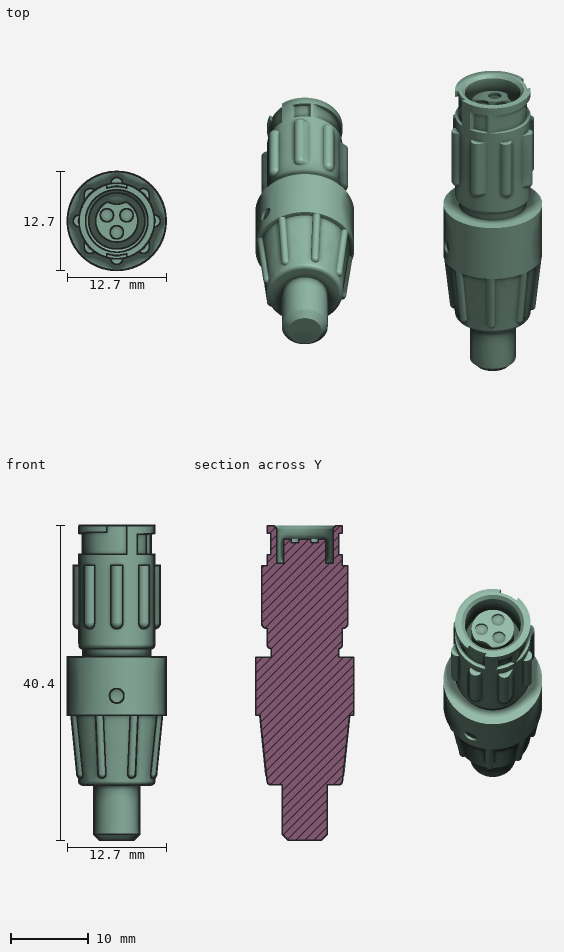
import cadquery as cq
import math

total_length = 40.4
collar_bottom_z = 16.05
collar_top_z = 23.55
barrel_bottom_z = 24.55
strain_relief_bottom_z = 7.1

cable_radius = 2.95
cable_chamfer = 0.8
strain_relief_top_radius = 5.78
strain_relief_bottom_radius = 4.8
strain_relief_round = 0.53
collar_radius = 6.35
neck_radius = 4.35
barrel_radius = 4.85
barrel_round = 0.55

socket_radius = 3.6
socket_depth = 4.85
socket_chamfer = 0.4
insert_radius = 2.7
insert_recess = 1.75
key_notch_radius = 2.0
key_notch_bottom_y = 2.15
key_corner_round = 0.55
contact_count = 3
contact_circle_radius = 1.45
contact_hole_radius = 0.85
contact_hole_depth = 0.45

track_bottom_z = 36.67
track_floor_radius = 4.4
track_entry_half_width = 1.25
track_end_x = -2.63
track_lip_at_axis = 1.0
track_lip_slope = 0.035
stop_end_y = 2.25

barrel_rib_count = 8
barrel_rib_circle_radius = 4.8
barrel_rib_radius = 0.75
barrel_rib_top_z = 35.25
barrel_rib_round_z = 27.9

taper_rib_count = 8
taper_rib_radius = 0.53
taper_rib_end_z = 8.52
taper_rib_overlap = 0.12

dimple_radius = 0.93
dimple_depth = 0.4
dimple_floor_radius = 4.85
dimple_z = 18.55


def cylinder(radius, bottom_z, height):
    return cq.Workplane("XY").workplane(offset=bottom_z).circle(radius).extrude(height)


def polar_point(radius, angle):
    a = math.radians(angle)
    return radius * math.cos(a), radius * math.sin(a)


def make_body():
    cable = cylinder(cable_radius, 0, strain_relief_bottom_z).faces("<Z").chamfer(cable_chamfer)
    strain_relief = (
        cq.Workplane("XY").workplane(offset=strain_relief_bottom_z)
        .circle(strain_relief_bottom_radius)
        .workplane(offset=collar_bottom_z - strain_relief_bottom_z)
        .circle(strain_relief_top_radius)
        .loft()
        .faces("<Z").edges().fillet(strain_relief_round)
    )
    collar = cylinder(collar_radius, collar_bottom_z, collar_top_z - collar_bottom_z)
    neck = cylinder(neck_radius, collar_top_z, barrel_bottom_z - collar_top_z)
    barrel = cylinder(barrel_radius, barrel_bottom_z, total_length - barrel_bottom_z)
    barrel = barrel.faces("<Z").edges().fillet(barrel_round)
    return cable.union(strain_relief).union(collar).union(neck).union(barrel)


def make_barrel_rib(angle):
    """Rod half sunk in the barrel with a ball lower end; diagonal rods get a flank parallel to Y."""
    x, y = polar_point(barrel_rib_circle_radius, angle)
    rib = (
        cq.Workplane("XZ")
        .moveTo(0, barrel_rib_top_z)
        .lineTo(barrel_rib_radius, barrel_rib_top_z)
        .lineTo(barrel_rib_radius, barrel_rib_round_z)
        .radiusArc((0, barrel_rib_round_z - barrel_rib_radius), barrel_rib_radius)
        .close()
        .revolve(360, (0, 0), (0, 1))
        .rotate((0, 0, 0), (0, 0, 1), angle)
        .translate((x, y, 0))
    )
    if angle % 90 != 0:
        flank = (
            cq.Workplane("XZ", origin=(0, y, 0))
            .moveTo(x - barrel_rib_radius, barrel_rib_top_z)
            .lineTo(x - barrel_rib_radius, barrel_rib_round_z)
            .threePointArc(
                (x, barrel_rib_round_z - barrel_rib_radius),
                (x + barrel_rib_radius, barrel_rib_round_z),
            )
            .lineTo(x + barrel_rib_radius, barrel_rib_top_z)
            .close()
            .extrude(math.copysign(2 * barrel_rib_radius, y))
        )
        rib = rib.union(flank)
    return rib


def make_taper_rib(angle):
    """Rod lying along the tapered surface with a ball at its lower end."""
    radius_per_z = (strain_relief_top_radius - strain_relief_bottom_radius) / (
        collar_bottom_z - strain_relief_bottom_z
    )
    top_z = collar_bottom_z + taper_rib_overlap
    end_radius = strain_relief_bottom_radius + radius_per_z * (taper_rib_end_z - strain_relief_bottom_z)
    start = cq.Vector(end_radius, 0, taper_rib_end_z)
    direction = cq.Vector(radius_per_z, 0, 1)
    length = (top_z - taper_rib_end_z) * direction.Length
    rod = cq.Solid.makeCylinder(taper_rib_radius, length, start, direction)
    ball = cq.Workplane("XY").sphere(taper_rib_radius).translate(start.toTuple())
    return ball.union(cq.Workplane(rod)).rotate((0, 0, 0), (0, 0, 1), angle)


def make_socket():
    """Space to remove around the keyed contact insert, with the contact holes."""
    bottom_z = total_length - socket_depth
    insert_top_z = total_length - insert_recess
    socket = cylinder(socket_radius, bottom_z, socket_depth)
    mouth = (
        cq.Workplane("XY").workplane(offset=total_length - socket_chamfer)
        .circle(socket_radius)
        .workplane(offset=socket_chamfer)
        .circle(socket_radius + socket_chamfer)
        .loft()
    )
    insert = cylinder(insert_radius, bottom_z, insert_top_z - bottom_z)
    notch = cylinder(key_notch_radius, bottom_z, insert_top_z - bottom_z)
    notch = notch.translate((0, key_notch_bottom_y + key_notch_radius, 0))
    insert = insert.cut(notch).edges("|Z and >Y").fillet(key_corner_round)
    for i in range(contact_count):
        x, y = polar_point(contact_circle_radius, 360 / contact_count * i - 90)
        hole = cylinder(contact_hole_radius, insert_top_z - contact_hole_depth, contact_hole_depth)
        insert = insert.cut(hole.translate((x, y, 0)))
    return socket.union(mouth).cut(insert)


def make_track():
    """Space of one bayonet track: entry at -Y, round the -X side, ending past a raised stop."""
    outside = 2 * barrel_radius
    height = total_length - track_bottom_z
    ring = cylinder(outside, track_bottom_z, height).cut(
        cylinder(track_floor_radius, track_bottom_z, height)
    )
    path = (
        cq.Workplane("XY").workplane(offset=track_bottom_z)
        .polyline([
            (track_entry_half_width, -outside),
            (track_entry_half_width, 0),
            (track_end_x, 0),
            (track_end_x, outside),
            (-outside, outside),
            (-outside, -outside),
        ])
        .close()
        .extrude(height)
    )
    stop = (
        cq.Workplane("XY").workplane(offset=track_bottom_z)
        .center(-track_floor_radius / 2, stop_end_y / 2)
        .rect(track_floor_radius, stop_end_y)
        .extrude(height)
    )
    ceiling_z = total_length - track_lip_at_axis
    rise = track_lip_slope * outside
    below_lip = (
        cq.Workplane("YZ")
        .polyline([
            (-outside, track_bottom_z),
            (outside, track_bottom_z),
            (outside, ceiling_z - rise),
            (-outside, ceiling_z + rise),
        ])
        .close()
        .extrude(outside, both=True)
    )
    entry = (
        cq.Workplane("XY").workplane(offset=track_bottom_z)
        .center(0, -outside / 2)
        .rect(2 * track_entry_half_width, outside)
        .extrude(height)
    )
    return ring.intersect(path).intersect(below_lip).cut(stop).union(ring.intersect(entry))


def make_dimple():
    """Round blind hole at -Y whose floor is hollowed about an axis along X."""
    floor_y = -collar_radius + dimple_depth
    hole = (
        cq.Workplane("XZ", origin=(0, floor_y, dimple_z))
        .circle(dimple_radius)
        .extrude(2 * dimple_depth)
    )
    hollow = (
        cq.Workplane("YZ", origin=(0, floor_y - dimple_floor_radius, dimple_z))
        .circle(dimple_floor_radius)
        .extrude(dimple_radius * 2, both=True)
    )
    return hole.intersect(hollow)


result = make_body()

for i in range(barrel_rib_count):
    result = result.union(make_barrel_rib(360 / barrel_rib_count * i))

taper_rib_pitch = 360 / taper_rib_count
for i in range(taper_rib_count):
    result = result.union(make_taper_rib(taper_rib_pitch * (i + 0.5)))

result = result.cut(make_socket())

for angle in (0, 180):
    result = result.cut(make_track().rotate((0, 0, 0), (0, 0, 1), angle))

for angle in (0, 180):
    result = result.cut(make_dimple().rotate((0, 0, 0), (0, 0, 1), angle))